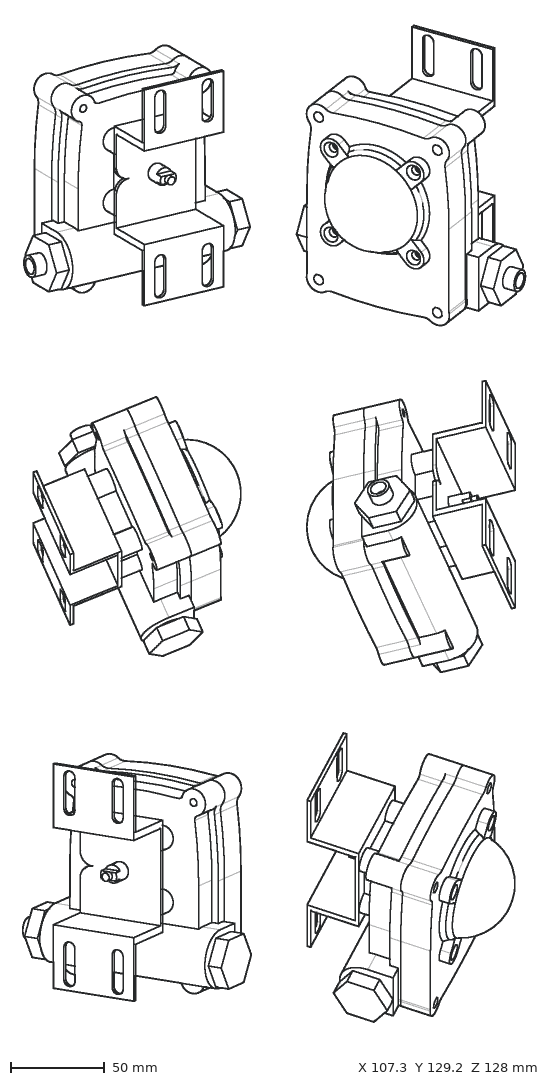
import cadquery as cq
import math


LUG_Y = 36.9
LUG_TOP_Z = 39.6
LUG_BOTTOM_Z = -58.5
LUG_RADIUS = 7.5
WALL_TOP_Z = 45.9
WALL_BOTTOM_Z = -65.0
WALL_SIDE_Y = 44.1
SIDE_BOW_Z = -6.0
BOW_RADIUS = 271.5
WALL_BLEND = 6.5
REAR_INSET = 4.0
REAR_BLEND = 2.3

COVER_THICKNESS = 17.2
COVER_HOLE_DIA = 5.8

RIM_DEPTH = 6.3
BASE_DEPTH = 20.0
BOTTOM_LUG_EXTRA = 1.0
BASE_HOLE_DIA = 4.1
POST_PITCH = 35.3
POST_DIA = 13.2
POST_LENGTH = 12.3
SEAT_X = BASE_DEPTH + POST_LENGTH

ENTRY_X = 16.2
ENTRY_Z = -45.8
ENTRY_RADIUS = 16.2
ENTRY_FRONT_X = 1.4
ENTRY_HALF_LENGTH = 51.3
NECK_DIA = 18.6
NECK_LENGTH = 1.8
NUT_FLATS = 27.0
NUT_THICKNESS = 8.0
TUBE_DIA = 12.0
TUBE_BORE = 8.5
TUBE_LENGTH = 7.0

DOME_RADIUS = 29.0
DOME_HEIGHT = 27.9
RING_HEIGHT = 6.0
RING_OUTER_RADIUS = 32.1
RING_EDGE_RADIUS = 30.3
RING_EDGE_HEIGHT = 3.0
RING_EDGE_BULGE = 0.5
TAB_OFFSET = 25.6
TAB_WIDTH = 13.0
TAB_HOLE_DIA = 5.0
TAB_SINK_DIA = 8.5
TAB_SINK_DEPTH = 2.6
TAB_TAP_DIA = 4.0

SHAFT_DIA = 10.0
SHAFT_SHOULDER_X = 42.2
FLAT_END_X = 46.5
SHAFT_END_X = 49.7
FLAT_THICKNESS = 4.5

SHEET = 2.1
ARM_THICKNESS = 4.1
BRACKET_WIDTH = 50.0
BRACKET_ARM_Z = 31.0
BRACKET_HALF_HEIGHT = 62.0
BRACKET_END_X = 62.2
SLOT_WIDTH = 6.9
SLOT_LENGTH = 24.6
SLOT_PITCH = 30.0
SLOT_MARGIN = 2.5
NOTCH_RADIUS = 7.6


def plane_x(x):
    """Workplane facing +X whose local axes are Y and Z."""
    return cq.Workplane("YZ", origin=(x, 0, 0))


def disc(x, length, diameter, y=0.0, z=0.0):
    """Cylinder along +X."""
    return plane_x(x).center(y, z).circle(diameter / 2).extrude(length)


def box(x_range, y_range, z_range):
    """Box between the given limits."""
    corner = (x_range[0], y_range[0], z_range[0])
    size = (x_range[1] - x_range[0], y_range[1] - y_range[0], z_range[1] - z_range[0])
    return cq.Workplane("XY").box(*size, centered=False).translate(corner)


def toward(start, target, distance):
    """Point at a distance from start in the direction of target."""
    span = math.dist(start, target)
    return tuple(a + (b - a) * distance / span for a, b in zip(start, target))


def blend_center(wall_center, wall_radius, lug_center, blend, side):
    """Center of the blend that touches a bowed wall and a lug from outside."""
    reach_wall = wall_radius + blend
    reach_lug = LUG_RADIUS + blend
    span = math.dist(wall_center, lug_center)
    along = (span**2 + reach_wall**2 - reach_lug**2) / (2 * span)
    across = side * math.sqrt(reach_wall**2 - along**2)
    dy = (lug_center[0] - wall_center[0]) / span
    dz = (lug_center[1] - wall_center[1]) / span
    return (wall_center[0] + along * dy - across * dz, wall_center[1] + along * dz + across * dy)


def housing_outline(x, inset, blend):
    """Closed outline of the housing; the walls are moved in by the inset, the lugs stay."""
    radius = BOW_RADIUS - inset
    side_y = WALL_SIDE_Y - inset
    top_bow = (0, WALL_TOP_Z - BOW_RADIUS)
    bottom_bow = (0, WALL_BOTTOM_Z + BOW_RADIUS)
    side_bow = (WALL_SIDE_Y - BOW_RADIUS, SIDE_BOW_Z)
    top_lug = (LUG_Y, LUG_TOP_Z)
    bottom_lug = (LUG_Y, LUG_BOTTOM_Z)

    top_blend = blend_center(top_bow, radius, top_lug, blend, 1)
    side_blend = blend_center(side_bow, radius, top_lug, blend, -1)
    bottom_blend = blend_center(bottom_bow, radius, bottom_lug, blend, -1)
    low_y = side_y + blend
    low_rise = math.sqrt((LUG_RADIUS + blend) ** 2 - (low_y - LUG_Y) ** 2)
    low_blend = (low_y, LUG_BOTTOM_Z + low_rise)

    def minor_arc(line, center, arc_radius, start, end):
        middle = ((start[0] + end[0]) / 2, (start[1] + end[1]) / 2)
        return line.threePointArc(toward(center, middle, arc_radius), end)

    def lug_arc(line, lug, up, end):
        outside = (lug[0] + 1.3, lug[1] + up)
        return line.threePointArc(toward(lug, outside, LUG_RADIUS), end)

    top = (0, WALL_TOP_Z - inset)
    top_end = toward(top_blend, top_bow, blend)
    lug_start = toward(top_blend, top_lug, blend)
    lug_end = toward(side_blend, top_lug, blend)
    side_start = toward(side_blend, side_bow, blend)
    side_middle = (side_y, SIDE_BOW_Z)
    side_end = (side_y, low_blend[1])
    low_lug_start = toward(low_blend, bottom_lug, blend)
    low_lug_end = toward(bottom_blend, bottom_lug, blend)
    bottom_start = toward(bottom_blend, bottom_bow, blend)
    bottom = (0, WALL_BOTTOM_Z + inset)

    line = plane_x(x).moveTo(*top)
    line = minor_arc(line, top_bow, radius, top, top_end)
    line = minor_arc(line, top_blend, blend, top_end, lug_start)
    line = lug_arc(line, top_lug, 1.3, lug_end)
    line = minor_arc(line, side_blend, blend, lug_end, side_start)
    line = minor_arc(line, side_bow, radius, side_start, side_middle)
    line = line.lineTo(*side_end)
    line = minor_arc(line, low_blend, blend, side_end, low_lug_start)
    line = lug_arc(line, bottom_lug, -1.3, low_lug_end)
    line = minor_arc(line, bottom_blend, blend, low_lug_end, bottom_start)
    line = minor_arc(line, bottom_bow, radius, bottom_start, bottom)
    return line.mirrorY()


LUG_POINTS = [(y, z) for y in (-LUG_Y, LUG_Y) for z in (LUG_BOTTOM_Z, LUG_TOP_Z)]
TAB_POINTS = [(y, z) for y in (-TAB_OFFSET, TAB_OFFSET) for z in (-TAB_OFFSET, TAB_OFFSET)]


def make_cover():
    """Flat cover with screw holes in its lugs and tapped holes for the dome."""
    cover = housing_outline(-COVER_THICKNESS, 0, WALL_BLEND).extrude(COVER_THICKNESS)
    for y, z in LUG_POINTS:
        cover = cover.cut(disc(-COVER_THICKNESS, COVER_THICKNESS, COVER_HOLE_DIA, y, z))
    for y, z in TAB_POINTS:
        cover = cover.cut(disc(-COVER_THICKNESS, COVER_THICKNESS, TAB_TAP_DIA, y, z))
    return cover


def make_gland(side):
    """Neck and hexagon nut at one end of the cable entry; side is the sign of Y."""
    face = cq.Workplane("XZ", origin=(ENTRY_X, side * ENTRY_HALF_LENGTH, ENTRY_Z))
    neck = face.circle(NECK_DIA / 2).extrude(-side * NECK_LENGTH)
    nut_corners = NUT_FLATS / math.cos(math.pi / 6)
    nut_face = face.workplane(offset=-side * NECK_LENGTH)
    nut = nut_face.polygon(6, nut_corners).extrude(-side * NUT_THICKNESS)
    return neck.union(nut)


def make_tube():
    """Open cable tube on the -Y nut."""
    start_y = -(ENTRY_HALF_LENGTH + NECK_LENGTH + NUT_THICKNESS)
    face = cq.Workplane("XZ", origin=(ENTRY_X, start_y, ENTRY_Z))
    return face.circle(TUBE_DIA / 2).circle(TUBE_BORE / 2).extrude(TUBE_LENGTH)


def make_cable_entry():
    """Bar along Y with a flat front and a half-round back, and its glands."""
    top_z = ENTRY_Z + ENTRY_RADIUS
    bottom_z = ENTRY_Z - ENTRY_RADIUS
    entry = (
        cq.Workplane("XZ", origin=(0, ENTRY_HALF_LENGTH, 0))
        .moveTo(ENTRY_FRONT_X, top_z)
        .lineTo(ENTRY_X, top_z)
        .threePointArc((ENTRY_X + ENTRY_RADIUS, ENTRY_Z), (ENTRY_X, bottom_z))
        .lineTo(ENTRY_FRONT_X, bottom_z)
        .close()
        .extrude(2 * ENTRY_HALF_LENGTH)
    )
    for side in (-1, 1):
        entry = entry.union(make_gland(side))
    return entry.union(make_tube())


def make_seat():
    """Square block with a round post at each corner, behind the base."""
    seat = plane_x(BASE_DEPTH).rect(POST_PITCH, POST_PITCH).extrude(POST_LENGTH)
    posts = plane_x(BASE_DEPTH).rect(POST_PITCH, POST_PITCH, forConstruction=True).vertices()
    return seat.union(posts.circle(POST_DIA / 2).extrude(POST_LENGTH))


def make_base():
    """Base with a full-size rim, a stepped-in rear, the bracket seat and the cable entry."""
    base = housing_outline(0, 0, WALL_BLEND).extrude(RIM_DEPTH)
    rear = housing_outline(RIM_DEPTH, REAR_INSET, REAR_BLEND).extrude(BASE_DEPTH - RIM_DEPTH)
    base = base.union(rear)
    for y in (-LUG_Y, LUG_Y):
        base = base.union(disc(BASE_DEPTH, BOTTOM_LUG_EXTRA, 2 * LUG_RADIUS, y, LUG_BOTTOM_Z))
    base = base.union(make_seat()).union(make_cable_entry())
    for y, z in LUG_POINTS:
        base = base.cut(disc(0, BASE_DEPTH, BASE_HOLE_DIA, y, z))
    return base


def make_tab(angle):
    """Screw tab that points from the dome axis at the given angle; round at its outer end."""
    reach = TAB_OFFSET * math.sqrt(2)
    face = plane_x(-COVER_THICKNESS)
    bar = face.center(reach / 2, 0).rect(reach, TAB_WIDTH).extrude(-RING_HEIGHT)
    tab = bar.union(face.center(reach, 0).circle(TAB_WIDTH / 2).extrude(-RING_HEIGHT))
    return tab.rotate((0, 0, 0), (1, 0, 0), angle)


def make_dome():
    """Round cap on a ring with a rounded edge, held by four tabs with countersunk screw holes."""
    face_x = -COVER_THICKNESS
    ring_x = face_x - RING_HEIGHT
    tip_x = face_x - DOME_HEIGHT
    center_x = tip_x + DOME_RADIUS
    rim_radius = math.sqrt(DOME_RADIUS**2 - (center_x - ring_x) ** 2)
    half = DOME_RADIUS * math.sqrt(0.5)
    edge_x = face_x - RING_EDGE_HEIGHT
    chord = math.dist((edge_x, RING_EDGE_RADIUS), (ring_x, rim_radius))
    arc_middle = (
        (edge_x + ring_x) / 2 - RING_EDGE_BULGE * (RING_EDGE_RADIUS - rim_radius) / chord,
        (RING_EDGE_RADIUS + rim_radius) / 2 + RING_EDGE_BULGE * (edge_x - ring_x) / chord,
    )
    profile = (
        cq.Workplane("XY")
        .moveTo(face_x, 0)
        .lineTo(face_x, RING_OUTER_RADIUS)
        .lineTo(edge_x, RING_EDGE_RADIUS)
        .threePointArc(arc_middle, (ring_x, rim_radius))
        .threePointArc((center_x - half, half), (tip_x, 0))
        .close()
    )
    dome = profile.revolve(360, (0, 0, 0), (1, 0, 0))
    for angle in (45, 135, 225, 315):
        dome = dome.union(make_tab(angle))
    for y, z in TAB_POINTS:
        dome = dome.cut(disc(ring_x, RING_HEIGHT, TAB_HOLE_DIA, y, z))
        sink = cq.Solid.makeCone(
            TAB_SINK_DIA / 2, TAB_HOLE_DIA / 2, TAB_SINK_DEPTH, cq.Vector(ring_x, y, z), cq.Vector(1, 0, 0)
        )
        dome = dome.cut(cq.Workplane(sink))
    return dome


def make_shaft():
    """Shaft with two flats and a thin round tip."""
    shaft = disc(SEAT_X, FLAT_END_X - SEAT_X, SHAFT_DIA)
    flat_x = (SHAFT_SHOULDER_X, FLAT_END_X)
    for flat_z in ((FLAT_THICKNESS / 2, SHAFT_DIA), (-SHAFT_DIA, -FLAT_THICKNESS / 2)):
        shaft = shaft.cut(box(flat_x, (-SHAFT_DIA, SHAFT_DIA), flat_z))
    return shaft.union(disc(FLAT_END_X, SHAFT_END_X - FLAT_END_X, FLAT_THICKNESS))


def make_bracket():
    """Hat-shaped bracket with slotted flanges, a shaft hole and a rounded notch in its -Y edge."""
    web_x = SEAT_X + SHEET
    flange_x = BRACKET_END_X - SHEET
    arm_inner_z = BRACKET_ARM_Z - ARM_THICKNESS
    edge_y = -BRACKET_WIDTH / 2
    upper = [
        (web_x, arm_inner_z),
        (BRACKET_END_X, arm_inner_z),
        (BRACKET_END_X, BRACKET_HALF_HEIGHT),
        (flange_x, BRACKET_HALF_HEIGHT),
        (flange_x, BRACKET_ARM_Z),
        (SEAT_X, BRACKET_ARM_Z),
    ]
    lower = [(x, -z) for x, z in reversed(upper)]
    profile = cq.Workplane("XZ", origin=(0, -edge_y, 0)).polyline(upper + lower).close()
    bracket = profile.extrude(BRACKET_WIDTH)
    bracket = bracket.cut(disc(SEAT_X, SHEET, SHAFT_DIA))

    slot_z = BRACKET_HALF_HEIGHT - SLOT_MARGIN - SLOT_LENGTH / 2
    slots = [(y, z) for y in (-SLOT_PITCH / 2, SLOT_PITCH / 2) for z in (-slot_z, slot_z)]
    bracket = bracket.cut(
        plane_x(flange_x).pushPoints(slots).slot2D(SLOT_LENGTH, SLOT_WIDTH, 90).extrude(SHEET)
    )

    half = NOTCH_RADIUS * math.sqrt(0.5)
    depth_y = edge_y + NOTCH_RADIUS
    notch = (
        plane_x(SEAT_X)
        .moveTo(edge_y, NOTCH_RADIUS)
        .threePointArc((depth_y - half, NOTCH_RADIUS - half), (depth_y, 0))
        .threePointArc((depth_y - half, half - NOTCH_RADIUS), (edge_y, -NOTCH_RADIUS))
        .close()
        .extrude(SHEET)
    )
    return bracket.cut(notch)


cover = make_cover()
base = make_base()
dome = make_dome()
shaft = make_shaft()
bracket = make_bracket()

result = cq.Compound.makeCompound([cover.val(), base.val(), dome.val(), shaft.val(), bracket.val()])